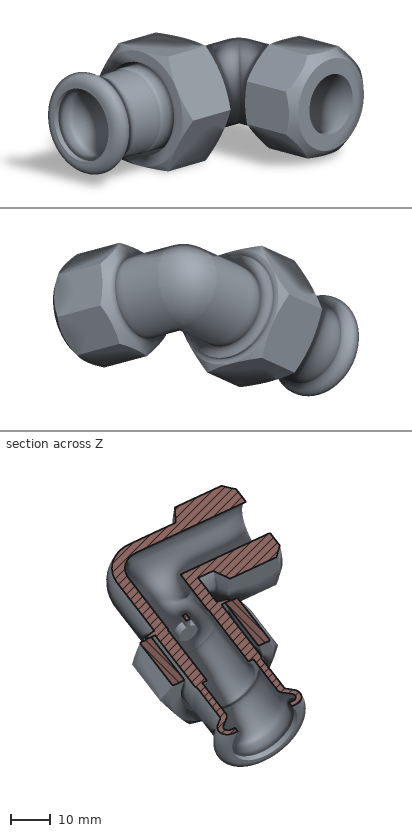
import cadquery as cq
import math


SIN_45 = math.sin(math.radians(45))

overall_length = 70.4
branch_end_x = 32.1

elbow_radius = 10.55
elbow_bore_radius = 7.8

octagon_sides = 8
octagon_width = 27.0
octagon_start_x = 13.5
octagon_face_radius = 11.9
octagon_back_angle = 30.0
octagon_front_angle = 45.0

bead_tube_radius = 2.6
bead_ring_radius = 10.5
mouth_radius = 9.4
groove_tube_radius = 1.1
groove_blend_radius = 1.9

socket_radius = 10.8
socket_bore_radius = 9.1
collar_radius = 11.05
collar_cone_start_y = 17.1
collar_start_y = 18.0
tail_bore_radius = 7.95

hexagon_sides = 6
nut_width = 30.0
nut_front_y = 21.05
nut_length = 16.25
nut_face_radius = 14.9
nut_hole_radius = 12.0
nut_chamfer_angle = 30.0

flange_radius = 13.4
flange_rim_length = 0.8
flange_cone_length = 0.7

hub_radius = 2.7
spoke_width = 1.2
hub_length = 2.1

corner_y = overall_length - octagon_width / 2
nut_back_y = nut_front_y + nut_length
flange_rim_y = nut_back_y + flange_rim_length
flange_end_y = flange_rim_y + flange_cone_length


def arc_point(center, radius, degrees):
    """Point on a circle; 0 degrees points radially outwards, 90 degrees towards +Y."""
    angle = math.radians(degrees)
    return (center[0] + radius * math.cos(angle), center[1] + radius * math.sin(angle))


def chamfer_envelope(start, end, start_radius, end_radius, start_angle, end_angle, full_radius):
    """Body of revolution about Y that cones off both ends of a prism lying inside full_radius."""
    start_depth = (full_radius - start_radius) * math.tan(math.radians(start_angle))
    end_depth = (full_radius - end_radius) * math.tan(math.radians(end_angle))
    return (
        cq.Workplane("XY")
        .moveTo(0, start)
        .lineTo(start_radius, start)
        .lineTo(full_radius, start + start_depth)
        .lineTo(full_radius, end - end_depth)
        .lineTo(end_radius, end)
        .lineTo(0, end)
        .close()
        .revolve(360, (0, 0, 0), (0, 1, 0))
    )


def prism_along_y(sides, width, start, length, turn):
    """Regular prism about Y, given across flats, turned about its axis."""
    corner_diameter = width / math.cos(math.pi / sides)
    return (
        cq.Workplane("XZ", origin=(0, start, 0))
        .polygon(sides, corner_diameter)
        .extrude(-length)
        .rotate((0, 0, 0), (0, 1, 0), turn)
    )


def turn_to_branch(shape):
    """Move a shape built along +Y from the origin onto the branch, along +X from the corner."""
    return shape.rotate((0, 0, 0), (0, 0, 1), -90).translate((0, corner_y, 0))


def cylinder_along_y(radius, start, end):
    return cq.Workplane("XZ", origin=(0, start, 0)).circle(radius).extrude(start - end)


def rounded_elbow(radius, start_y, end_x):
    """Two round legs meeting at the corner, with a ball closing their outer side."""
    leg = cylinder_along_y(radius, start_y, corner_y)
    branch = turn_to_branch(cylinder_along_y(radius, 0, end_x))
    ball = cq.Workplane("XY", origin=(0, corner_y, 0)).sphere(radius)
    return leg.union(branch).union(ball)


def octagon_end():
    full_radius = octagon_width / 2 / math.cos(math.pi / octagon_sides)
    length = branch_end_x - octagon_start_x
    prism = prism_along_y(octagon_sides, octagon_width, octagon_start_x, length, 180 / octagon_sides)
    envelope = chamfer_envelope(
        octagon_start_x, branch_end_x, elbow_radius, octagon_face_radius,
        octagon_back_angle, octagon_front_angle, full_radius,
    )
    return turn_to_branch(prism.intersect(envelope))


def socket_outside():
    """Solid outside of bead, socket, collar and flange, revolved about Y."""
    center = (bead_ring_radius, bead_tube_radius)
    bead_side = arc_point(center, bead_tube_radius, 0)
    cone_start = arc_point(center, bead_tube_radius, 45)
    cone_end_y = cone_start[1] + cone_start[0] - socket_radius
    return (
        cq.Workplane("XY")
        .lineTo(bead_ring_radius, 0)
        .threePointArc(bead_side, cone_start)
        .lineTo(socket_radius, cone_end_y)
        .lineTo(socket_radius, collar_cone_start_y)
        .lineTo(collar_radius, collar_start_y)
        .lineTo(collar_radius, nut_back_y)
        .lineTo(flange_radius, nut_back_y)
        .lineTo(flange_radius, flange_rim_y)
        .lineTo(elbow_radius, flange_end_y)
        .lineTo(0, flange_end_y)
        .close()
        .revolve(360, (0, 0, 0), (0, 1, 0))
    )


def socket_cavity():
    """Mouth, seal groove with its 45 degree back wall, tube bore and tail bore."""
    center = (bead_ring_radius, bead_tube_radius)
    groove_front_y = bead_tube_radius - groove_tube_radius
    groove_side = arc_point(center, groove_tube_radius, 0)
    cone_start = arc_point(center, groove_tube_radius, 45)
    cone_end_radius = socket_bore_radius + groove_blend_radius * (1 - SIN_45)
    cone_end_y = cone_start[1] + cone_start[0] - cone_end_radius
    blend_center = (socket_bore_radius + groove_blend_radius, cone_end_y + groove_blend_radius * SIN_45)
    blend_middle = arc_point(blend_center, groove_blend_radius, 180 + 45 / 2)
    blend_end = (socket_bore_radius, blend_center[1])
    return (
        cq.Workplane("XY")
        .lineTo(mouth_radius, 0)
        .lineTo(mouth_radius, groove_front_y)
        .lineTo(bead_ring_radius, groove_front_y)
        .threePointArc(groove_side, cone_start)
        .lineTo(cone_end_radius, cone_end_y)
        .threePointArc(blend_middle, blend_end)
        .lineTo(socket_bore_radius, collar_start_y)
        .lineTo(tail_bore_radius, collar_start_y)
        .lineTo(tail_bore_radius, nut_back_y)
        .lineTo(0, nut_back_y)
        .close()
        .revolve(360, (0, 0, 0), (0, 1, 0))
    )


def hub_and_spoke():
    """Round hub on the bore axis, held by one spoke that rises into the bore wall."""
    spoke_height = (elbow_bore_radius + elbow_radius) / 2
    hub = cylinder_along_y(hub_radius, nut_back_y, nut_back_y + hub_length)
    spoke = cq.Workplane("XY", origin=(0, nut_back_y, 0)).box(
        spoke_width, hub_length, spoke_height, centered=(True, False, False)
    )
    return hub.union(spoke)


def make_fitting():
    pipe = rounded_elbow(elbow_radius, nut_back_y, octagon_start_x)
    outside = pipe.union(octagon_end()).union(socket_outside())
    bore = rounded_elbow(elbow_bore_radius, nut_back_y, branch_end_x)
    return outside.cut(bore).cut(socket_cavity()).union(hub_and_spoke())


def make_nut():
    full_radius = nut_width / 2 / math.cos(math.pi / hexagon_sides)
    prism = prism_along_y(hexagon_sides, nut_width, nut_front_y, nut_length, 0)
    envelope = chamfer_envelope(
        nut_front_y, nut_back_y, nut_face_radius, nut_face_radius,
        nut_chamfer_angle, nut_chamfer_angle, full_radius,
    )
    hole = cylinder_along_y(nut_hole_radius, nut_front_y, nut_back_y)
    return prism.intersect(envelope).cut(hole)


fitting = make_fitting()
union_nut = make_nut()

result = cq.Compound.makeCompound([fitting.val(), union_nut.val()])